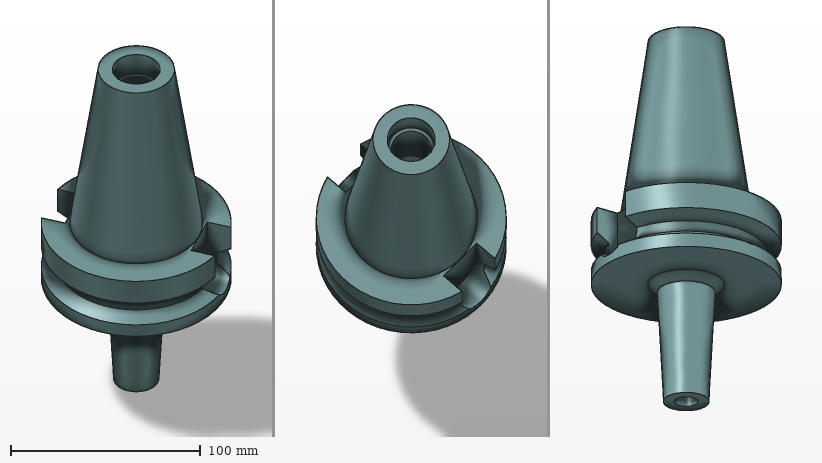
import cadquery as cq
import math

total_height = 206.8
gauge_z = 105.0
flange_top_z = 104.0
flange_bottom_z = 67.2
groove_upper_edge_z = 89.5
groove_lower_edge_z = 74.9
groove_chamfer_height = 4.3
collar_height = 4.5

flange_diameter = 100.0
groove_diameter = 85.6
gauge_diameter = 70.0
collar_diameter = 40.5
nose_diameter = 24.0

spindle_taper = 7 / 24
nose_half_angle = 3.0

slot_width = 25.6
slot_floor_x = 35.2
slot_bottom_z = 71.8

mouth_diameter = 25.0
mouth_depth = 13.0
thread_diameter = 21.0
thread_depth = 45.5
relief_diameter = 14.5
relief_depth = 103.5
through_diameter = 12.5


def make_body():
    """Revolve the outside profile: nose, collar, grooved flange and taper."""
    collar_bottom_z = flange_bottom_z - collar_height
    top_diameter = gauge_diameter - spindle_taper * (total_height - gauge_z)
    nose_root_radius = nose_diameter / 2 + collar_bottom_z * math.tan(math.radians(nose_half_angle))
    profile = [
        (0, 0),
        (nose_diameter / 2, 0),
        (nose_root_radius, collar_bottom_z),
        (collar_diameter / 2, flange_bottom_z),
        (flange_diameter / 2, flange_bottom_z),
        (flange_diameter / 2, groove_lower_edge_z),
        (groove_diameter / 2, groove_lower_edge_z + groove_chamfer_height),
        (groove_diameter / 2, groove_upper_edge_z - groove_chamfer_height),
        (flange_diameter / 2, groove_upper_edge_z),
        (flange_diameter / 2, flange_top_z),
        (gauge_diameter / 2, flange_top_z),
        (gauge_diameter / 2, gauge_z),
        (top_diameter / 2, total_height),
        (0, total_height),
    ]
    return cq.Workplane("XZ").polyline(profile).close().revolve(360, (0, 0), (0, 1))


def make_slot(side):
    """Round-bottomed drive slot, open upwards; side is +1 or -1 along X."""
    radius = slot_width / 2
    arc_center_z = slot_bottom_z + radius
    slot_length = flange_diameter / 2 - slot_floor_x
    return (
        cq.Workplane("YZ", origin=(side * slot_floor_x, 0, 0))
        .moveTo(-radius, flange_top_z)
        .lineTo(-radius, arc_center_z)
        .threePointArc((0, slot_bottom_z), (radius, arc_center_z))
        .lineTo(radius, flange_top_z)
        .close()
        .extrude(side * slot_length)
    )


def make_bore(diameter, depth):
    """Round bore sunk from the small end of the spindle taper."""
    return cq.Workplane("XY", origin=(0, 0, total_height)).circle(diameter / 2).extrude(-depth)


result = make_body()
for slot_side in (-1, 1):
    result = result.cut(make_slot(slot_side))

bore_steps = (
    (mouth_diameter, mouth_depth),
    (thread_diameter, thread_depth),
    (relief_diameter, relief_depth),
    (through_diameter, total_height),
)
for bore_diameter, bore_depth in bore_steps:
    result = result.cut(make_bore(bore_diameter, bore_depth))